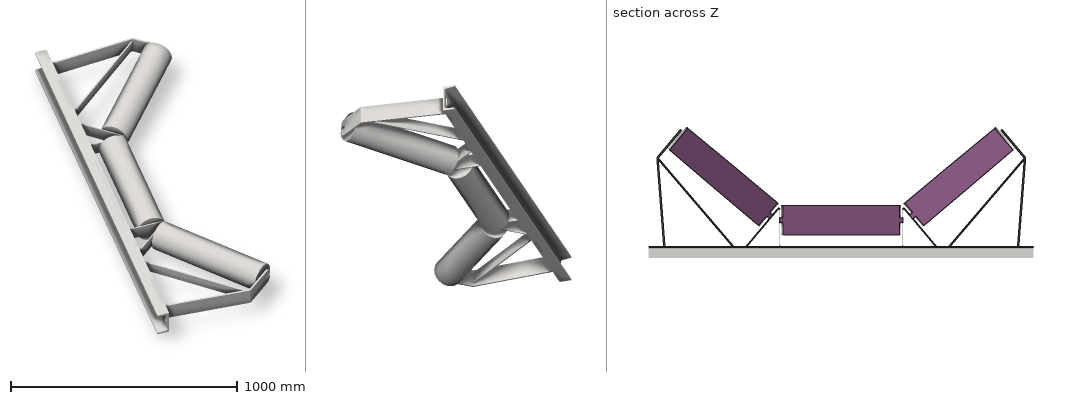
import cadquery as cq
import math


beam_length = 1700.0
beam_height = 119.0
beam_depth = 55.0
web_thickness = 7.0
flange_root_thickness = 12.0
flange_tip_thickness = 7.0
flange_root_radius = 8.0
beam_slot_x = 821.0
beam_slot_width = 15.0
beam_slot_height = 37.0

roller_diameter = 133.0
roller_length = 532.0
rim_thickness = 3.0
end_recess_depth = 7.0
shaft_diameter = 24.0
shaft_flat_width = 17.0
trough_angle = 40.0
toe_angle = 2.0
centre_roller_middle = (0, 168.0, -19.0)
wing_roller_middle = (-520.0, 360.0, -8.0)

arm_thickness = 8.0
arm_height = 78.0
arm_gap = 7.0
arm_foot_x = -782.0
arm_bend_y = 444.0
arm_bend_radius = 5.0
arm_tip_beyond_shaft = 39.0
arm_corner_radius = 25.0

brace_thickness = 7.0
brace_height = 51.0
brace_foot_x = -480.0

bracket_thickness = 5.0
bracket_height = 61.0
bracket_z = -12.0
bracket_wing_gap = 7.0
bracket_centre_gap = 3.0
bracket_bend_radius = 2.0

cos_trough = math.cos(math.radians(trough_angle))
sin_trough = math.sin(math.radians(trough_angle))


def build_beam():
    half_height = beam_height / 2
    root_z = half_height - flange_root_thickness
    tip_z = half_height - flange_tip_thickness
    web_front = beam_depth - web_thickness
    beam = (
        cq.Workplane("YZ", origin=(-beam_length / 2, 0, 0))
        .polyline([
            (0, half_height),
            (beam_depth, half_height),
            (beam_depth, -half_height),
            (0, -half_height),
            (0, -tip_z),
            (web_front, -root_z),
            (web_front, root_z),
            (0, tip_z),
        ])
        .close()
        .extrude(beam_length)
    )
    for corner_z in (-root_z, root_z):
        root_corner = cq.selectors.NearestToPointSelector((0, web_front, corner_z))
        beam = beam.edges("|X").edges(root_corner).fillet(flange_root_radius)
    slots = (
        cq.Workplane("XZ")
        .pushPoints([(-beam_slot_x, 0), (beam_slot_x, 0)])
        .slot2D(beam_slot_height, beam_slot_width, 90)
        .extrude(-beam_depth)
    )
    return beam.cut(slots)


def plane_across(middle, trough, toe):
    """Plane across a roller at its middle: the normal is its axis, local y is level."""
    trough = math.radians(trough)
    toe = math.radians(toe)
    axis = (-math.cos(trough) * math.cos(toe), math.sin(trough) * math.cos(toe), math.sin(toe))
    upward = (math.cos(trough) * math.sin(toe), -math.sin(trough) * math.sin(toe), math.cos(toe))
    return cq.Plane(middle, upward, axis)


def build_shaft(plane, inner_reach, outer_reach):
    """Shaft with two flats, reaching the given distances from the roller's middle."""
    start = cq.Workplane(plane).workplane(offset=-inner_reach)
    length = inner_reach + outer_reach
    flats = start.rect(shaft_flat_width, shaft_diameter).extrude(length)
    return start.circle(shaft_diameter / 2).extrude(length).intersect(flats)


def build_roller(plane, shaft):
    half_length = roller_length / 2
    bore_radius = roller_diameter / 2 - rim_thickness
    section = cq.Workplane(plane)
    shell = section.workplane(offset=-half_length).circle(roller_diameter / 2).extrude(roller_length)
    for end in (-1, 1):
        end_face = section.workplane(offset=end * half_length)
        shell = shell.cut(end_face.circle(bore_radius).extrude(-end * end_recess_depth))
    return shell.union(shaft)


def beside(point, angle, distance):
    """Point moved sideways, to the left of a line running at the given angle."""
    return (point[0] - distance * math.sin(angle), point[1] + distance * math.cos(angle))


def bent_plate(start, bend, end, thickness, height, inside_radius):
    """Plate with one right-hand bend; start, bend and end lie on its middle surface."""
    first = math.atan2(bend[1] - start[1], bend[0] - start[0])
    second = math.atan2(end[1] - bend[1], end[0] - bend[0])
    mitre = (first + second) / 2
    half = thickness / 2
    mitre_half = half / math.cos((first - second) / 2)
    outside = beside(bend, mitre, mitre_half)
    inside = beside(bend, mitre, -mitre_half)
    plate = (
        cq.Workplane("XY", origin=(0, 0, -height / 2))
        .polyline([
            beside(start, first, half),
            outside,
            beside(end, second, half),
            beside(end, second, -half),
            inside,
            beside(start, first, -half),
        ])
        .close()
        .extrude(height)
    )
    for corner, radius in ((inside, inside_radius), (outside, inside_radius + thickness)):
        bend_edge = cq.selectors.NearestToPointSelector((*corner, 0))
        plate = plate.edges("|Z").edges(bend_edge).fillet(radius)
    return plate


def trim_to_beam(plate):
    """Trim the foot of a plate flush with the back of the beam."""
    room_behind = cq.Workplane("XY", origin=(0, beam_depth, 0)).box(
        beam_length, beam_length, beam_height, centered=(True, False, True)
    )
    return plate.intersect(room_behind)


def beside_wing(along, across):
    """Plan position by distances along and across the left wing roller, from its middle."""
    return (
        wing_roller_middle[0] - along * cos_trough + across * sin_trough,
        wing_roller_middle[1] + along * sin_trough + across * cos_trough,
    )


def extend_to_front(point, foot_x):
    """Where the line from a point through a foot on the beam's back meets the flange tips."""
    run = (foot_x - point[0]) / (point[1] - beam_depth)
    return (point[0] + run * point[1], 0)


arm_along = roller_length / 2 + arm_gap + arm_thickness / 2
bracket_along = -(roller_length / 2 + bracket_wing_gap + bracket_thickness / 2)
arm_bend = beside_wing(arm_along, (arm_bend_y - beside_wing(arm_along, 0)[1]) / cos_trough)


def build_arm():
    """Outer arm: rises from the beam, bends across the roller and ends in an open shaft slot."""
    tip = beside_wing(arm_along, arm_tip_beyond_shaft)
    foot = extend_to_front(arm_bend, arm_foot_x)
    arm = bent_plate(foot, arm_bend, tip, arm_thickness, arm_height, arm_bend_radius)
    across_plate = cq.selectors.ParallelDirSelector(cq.Vector(-cos_trough, sin_trough, 0))
    arm = arm.edges(across_plate).fillet(arm_corner_radius)
    slot_length = shaft_diameter / 2 + 2 * arm_tip_beyond_shaft
    slot = (
        cq.Workplane(wing_plane)
        .workplane(offset=arm_along - arm_thickness)
        .center(0, slot_length / 2 - shaft_diameter / 2)
        .rect(shaft_flat_width, slot_length)
        .extrude(2 * arm_thickness)
    )
    return trim_to_beam(arm).cut(slot)


def build_brace(arm):
    """Flat brace from the beam to the inside of the arm's bend."""
    foot = extend_to_front(arm_bend, brace_foot_x)
    angle = math.atan2(foot[1] - arm_bend[1], foot[0] - arm_bend[0])
    half = brace_thickness / 2
    brace = (
        cq.Workplane("XY", origin=(0, 0, -brace_height / 2))
        .polyline([
            beside(arm_bend, angle, half),
            beside(foot, angle, half),
            beside(foot, angle, -half),
            beside(arm_bend, angle, -half),
        ])
        .close()
        .extrude(brace_height)
    )
    return trim_to_beam(brace).cut(arm)


def build_bracket():
    """Inner bracket: one leg carries the centre roller, the other the wing roller."""
    leg_x = -(roller_length / 2 + bracket_centre_gap + bracket_thickness / 2)
    apex_across = (leg_x - beside_wing(bracket_along, 0)[0]) / sin_trough
    apex = beside_wing(bracket_along, apex_across)
    wing_foot = beside_wing(bracket_along, apex_across - apex[1] / cos_trough)
    bracket = bent_plate(
        wing_foot, apex, (leg_x, 0), bracket_thickness, bracket_height, bracket_bend_radius
    )
    bracket = trim_to_beam(bracket.translate((0, 0, bracket_z)))
    return bracket.cut(wing_shaft).cut(centre_shaft)


centre_plane = plane_across(centre_roller_middle, 0, 0)
centre_reach = roller_length / 2 + bracket_centre_gap + bracket_thickness
centre_shaft = build_shaft(centre_plane, centre_reach, centre_reach)
wing_plane = plane_across(wing_roller_middle, trough_angle, toe_angle)
wing_shaft = build_shaft(
    wing_plane, -bracket_along + bracket_thickness / 2, arm_along + arm_thickness / 2
)

beam = build_beam()
centre_roller = build_roller(centre_plane, centre_shaft)
wing_roller = build_roller(wing_plane, wing_shaft)
arm = build_arm()
brace = build_brace(arm)
bracket = build_bracket()

bodies = [beam.val(), centre_roller.val()]
for left_body in (wing_roller, arm, brace, bracket):
    bodies.append(left_body.val())
    bodies.append(left_body.mirror("YZ").val())

result = cq.Compound.makeCompound(bodies)